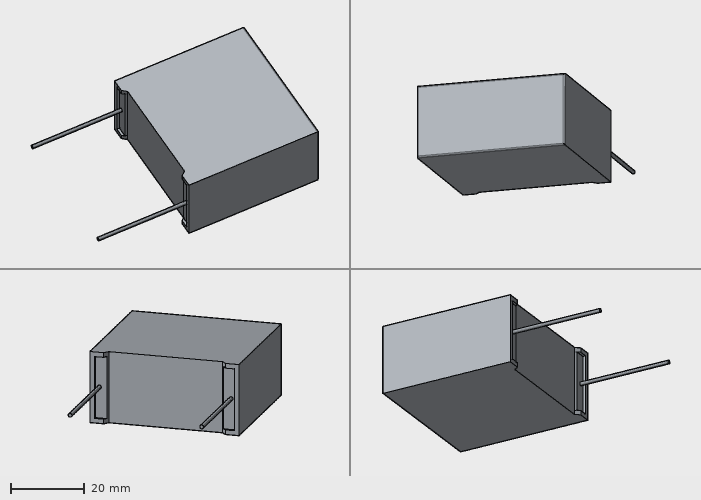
import cadquery as cq

width = 42.5
height = 20.3
total_length = 67.3
case_length = 40.4
back_fillet = 0.5
wall = 1.35

foot_width = 3.9
slope_width = 1.15
foot_height = 1.35

opening_depth = 0.8
opening_width = foot_width + slope_width * opening_depth / foot_height - wall
opening_height = height - 2 * wall

lead_diameter = 1.1
lead_pitch = 37.55
lead_length = total_length - case_length + opening_depth

recess_y = foot_height
fill_surface_y = opening_depth
core_front_y = recess_y + wall
core_back_y = case_length - wall

half_width = width / 2
opening_center_x = half_width - wall - opening_width / 2
sides = (-1, 1)


def block(size_x, size_z, y_start, y_end, center_x=0):
    """Box centered on Z = 0 that runs from y_start to y_end."""
    length = y_end - y_start
    return cq.Workplane("XY").box(size_x, length, size_z).translate((center_x, y_start + length / 2, 0))


def make_filling():
    """Filling of the case, with a pad that reaches into each foot opening."""
    filling = block(width - 2 * wall, opening_height, core_front_y, core_back_y)
    for side in sides:
        pad = block(opening_width, opening_height, fill_surface_y, core_front_y, side * opening_center_x)
        filling = filling.union(pad)
    return filling


def make_case(filling):
    """Case with feet, rounded back edges, foot openings and a cavity that fits the filling."""
    foot_inner_x = half_width - foot_width
    recess_end_x = foot_inner_x - slope_width
    case = block(width, height, 0, case_length).faces(">Y").edges().fillet(back_fillet)
    recess = (
        cq.Workplane("XY")
        .polyline([(-foot_inner_x, 0), (-recess_end_x, recess_y), (recess_end_x, recess_y), (foot_inner_x, 0)])
        .close()
        .extrude(height / 2, both=True)
    )
    case = case.cut(recess)
    for side in sides:
        opening = block(opening_width, opening_height, 0, fill_surface_y, side * opening_center_x)
        case = case.cut(opening)
    return case.cut(filling)


def make_lead(center_x):
    """Round lead that starts on the filling surface and points toward -Y."""
    return (
        cq.Workplane("XZ", origin=(center_x, fill_surface_y, 0))
        .circle(lead_diameter / 2)
        .extrude(lead_length)
    )


filling = make_filling()
case = make_case(filling)
leads = [make_lead(side * lead_pitch / 2) for side in sides]

result = cq.Compound.makeCompound([case.val(), filling.val(), *[lead.val() for lead in leads]])